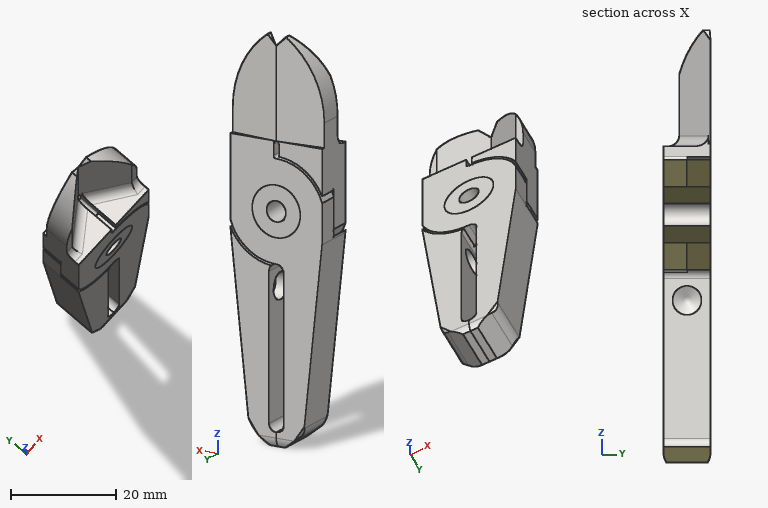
import cadquery as cq
import math


HALF_WIDTH = 10.0
THICKNESS = 9.0
FRONT_Y = -THICKNESS / 2
BACK_Y = THICKNESS / 2

DISC_RADIUS = 10.5
JOINT_GAP = 0.5
RECESS_RADIUS = DISC_RADIUS + JOINT_GAP
BUSHING_RADIUS = 5.25
BORE_RADIUS = 2.1

TIP_Z = 35.0
JAW_ARC_RADIUS = 20.0
JAW_ARC_START_Z = 19.0
TIP_HALF_WIDTH = (
    math.sqrt(JAW_ARC_RADIUS**2 - (TIP_Z - JAW_ARC_START_Z) ** 2) + HALF_WIDTH - JAW_ARC_RADIUS
)
SHOULDER_Z = 13.0
SHOULDER_FILLET = 2.0
JAW_FRONT_Y = -1.5
BEVEL_HALF_WIDTH = 8.5
RELIEF_DEPTH = 0.85
JAW_SLOT_WIDTH = 1.2
JAW_SLOT_TOP_Z = 14.0

TAPER_START_Z = -5.0
TAPER_END = (6.1, -42.2)
HEEL_CORNER = (4.7, -44.5)
END_HALF_WIDTH = 1.6
END_Z = -47.0
HANDLE_SLOT_WIDTH = 3.2
HANDLE_SLOT_BOTTOM_Z = -44.0
END_ROUND_RADIUS = 3.3
END_ROUND_START_Z = -45.1
HEEL_CHAMFER_START = (6.1, -42.0)
HEEL_CHAMFER_END = (3.95, END_ROUND_START_Z)

SPRING_HOLE_RADIUS = 2.75
SPRING_HOLE_Z = -16.25
SPRING_HOLE_DEPTH = 2.6
DRILL_POINT_ANGLE = 118.0

CUT_MARGIN = 5.0


def plate_plane(start_y):
    """Sketch plane with local axes X and Z at the given Y; extrude by a negative depth to go toward +Y."""
    return cq.Workplane("XZ", origin=(0, start_y, 0))


def cylinder(radius, start_y, depth):
    return plate_plane(start_y).circle(radius).extrude(-depth)


def jaw_plate():
    """Left jaw blank: straight flank, then an arc to the tip with a 45 degree notch at the middle."""
    mid_z = (JAW_ARC_START_Z + TIP_Z) / 2
    arc_centre_x = JAW_ARC_RADIUS - HALF_WIDTH
    mid_x = arc_centre_x - math.sqrt(JAW_ARC_RADIUS**2 - (mid_z - JAW_ARC_START_Z) ** 2)
    return (
        plate_plane(FRONT_Y)
        .lineTo(-HALF_WIDTH, 0)
        .lineTo(-HALF_WIDTH, JAW_ARC_START_Z)
        .threePointArc((mid_x, mid_z), (-TIP_HALF_WIDTH, TIP_Z))
        .lineTo(0, TIP_Z - TIP_HALF_WIDTH)
        .close()
        .extrude(-THICKNESS)
    )


def handle_plate():
    """Right handle blank: tapered flank, rounded heel and a slanted end."""
    return (
        plate_plane(FRONT_Y)
        .lineTo(HALF_WIDTH, 0)
        .lineTo(HALF_WIDTH, TAPER_START_Z)
        .lineTo(*TAPER_END)
        .tangentArcPoint(HEEL_CORNER, relative=False)
        .lineTo(END_HALF_WIDTH, END_Z)
        .lineTo(0, END_Z)
        .close()
        .extrude(-THICKNESS)
    )


def half_blank():
    """Left jaw and right handle joined by a disc in the front layer, with a recess in the back layer."""
    recess = cylinder(RECESS_RADIUS, 0, THICKNESS)
    width_limit = cq.Workplane("XY").box(2 * HALF_WIDTH, 2 * THICKNESS, 2 * HALF_WIDTH + CUT_MARGIN)
    disc = cylinder(DISC_RADIUS, FRONT_Y, THICKNESS / 2).intersect(width_limit)
    return jaw_plate().union(handle_plate()).cut(recess).union(disc)


def round_ended_slot(width, bottom_z, top_z):
    """Slot along Z through the full thickness."""
    return (
        plate_plane(FRONT_Y - CUT_MARGIN)
        .center(0, (bottom_z + top_z) / 2)
        .slot2D(top_z - bottom_z, width, 90)
        .extrude(-(THICKNESS + 2 * CUT_MARGIN))
    )


def jaw_front_cutters(side):
    """Removes the jaw's front above the shoulder: a flat step outside and a bevel rising to the edge.

    Both meet the shoulder in a fillet, which stops at the slot; over the slot the bevel runs straight down.
    """
    slope = (BACK_Y - JAW_FRONT_Y) / BEVEL_HALF_WIDTH
    full_reach = HALF_WIDTH + CUT_MARGIN
    slot_reach = JAW_SLOT_WIDTH / 2

    def front_cutter(outer_x, face_slope, base_y):
        inner_x = -CUT_MARGIN
        low_y = FRONT_Y - 2 * CUT_MARGIN
        corners = [
            (side * outer_x, base_y - face_slope * outer_x),
            (side * inner_x, base_y - face_slope * inner_x),
            (side * inner_x, low_y),
            (side * outer_x, low_y),
        ]
        sketch = cq.Workplane("XY", origin=(0, 0, SHOULDER_Z)).polyline(corners).close()
        return sketch.extrude(TIP_Z - SHOULDER_Z + CUT_MARGIN)

    def filleted(cutter):
        return cutter.faces("<Z").edges(">Y").fillet(SHOULDER_FILLET)

    flat_step = filleted(front_cutter(full_reach, 0, JAW_FRONT_Y))
    bevel = filleted(front_cutter(full_reach, slope, BACK_Y))
    slot_bevel = front_cutter(slot_reach, slope, BACK_Y)
    return [flat_step, bevel, slot_bevel]


def jaw_back_relief(side):
    """Thin wedge taken off the back of the jaw, deepest at the outer flank."""
    return (
        cq.Workplane("XY", origin=(0, 0, JAW_SLOT_TOP_Z))
        .moveTo(0, BACK_Y)
        .lineTo(side * HALF_WIDTH, BACK_Y - RELIEF_DEPTH)
        .lineTo(side * HALF_WIDTH, BACK_Y)
        .close()
        .extrude(TIP_Z - JAW_SLOT_TOP_Z)
    )


def end_round_cutter(face):
    """Rounds the handle end toward the front (-1) or back (+1) face."""
    band_height = END_ROUND_START_Z - END_Z
    band = cq.Workplane("XY").box(2 * HALF_WIDTH, THICKNESS / 2, band_height, centered=(True, False, False))
    band = band.translate((0, 0 if face > 0 else FRONT_Y, END_Z))
    rod = (
        cq.Workplane("YZ", origin=(-HALF_WIDTH, 0, 0))
        .center(face * (BACK_Y - END_ROUND_RADIUS), END_ROUND_START_Z)
        .circle(END_ROUND_RADIUS)
        .extrude(2 * HALF_WIDTH)
    )
    core = cq.Workplane("XY").box(2 * HALF_WIDTH, 2 * (BACK_Y - END_ROUND_RADIUS), 2 * band_height)
    return band.cut(rod).cut(core.translate((0, 0, END_Z)))


def heel_chamfer_cutter(side, face):
    """Wedge that bevels the heel at 45 degrees, its edge running across the front or back face."""
    run_x = HEEL_CHAMFER_START[0] - HEEL_CHAMFER_END[0]
    run_z = HEEL_CHAMFER_START[1] - HEEL_CHAMFER_END[1]
    length = math.hypot(run_x, run_z)
    outward = cq.Vector(side * run_z / length, 0, -run_x / length)
    along = cq.Vector(side * run_x / length, 0, run_z / length)
    edge_foot = cq.Vector(side * HEEL_CHAMFER_END[0], face * BACK_Y, HEEL_CHAMFER_END[1])
    section = cq.Plane(origin=edge_foot, xDir=outward, normal=along)
    inward = -face * section.yDir.y
    reach = CUT_MARGIN / 2
    return (
        cq.Workplane(section)
        .lineTo(reach, inward * reach)
        .lineTo(reach, 0)
        .close()
        .extrude(length)
    )


def spring_hole_cutter(side):
    """Drilled blind hole along X in the slot wall of the handle, with a conical bottom."""
    rim_x = HANDLE_SLOT_WIDTH / 2 + SPRING_HOLE_DEPTH
    point_length = SPRING_HOLE_RADIUS / math.tan(math.radians(DRILL_POINT_ANGLE / 2))
    return (
        cq.Workplane("XZ", origin=(0, 0, SPRING_HOLE_Z))
        .lineTo(0, SPRING_HOLE_RADIUS)
        .lineTo(side * rim_x, SPRING_HOLE_RADIUS)
        .lineTo(side * (rim_x + point_length), 0)
        .close()
        .revolve(360, (0, 0, 0), (1, 0, 0))
    )


def plier_half(blank, jaw_side):
    """Finishes a blank whose jaw is on the given side (-1 left, +1 right) and handle on the other."""
    half = blank.cut(cylinder(BUSHING_RADIUS, FRONT_Y, THICKNESS))
    half = half.cut(round_ended_slot(JAW_SLOT_WIDTH, DISC_RADIUS, JAW_SLOT_TOP_Z))
    half = half.cut(round_ended_slot(HANDLE_SLOT_WIDTH, HANDLE_SLOT_BOTTOM_Z, -DISC_RADIUS))
    for cutter in jaw_front_cutters(jaw_side):
        half = half.cut(cutter)
    half = half.cut(jaw_back_relief(jaw_side))
    half = half.cut(spring_hole_cutter(-jaw_side))
    for face in (-1, 1):
        half = half.cut(end_round_cutter(face))
        half = half.cut(heel_chamfer_cutter(-jaw_side, face))
    return half.solids()


blank = half_blank()
left_jaw_half = plier_half(blank, -1)
right_jaw_half = plier_half(blank.rotate((0, 0, 0), (0, 0, 1), 180), 1)

bore = cylinder(BORE_RADIUS, FRONT_Y, THICKNESS)
bushing = cylinder(BUSHING_RADIUS, FRONT_Y, THICKNESS).cut(bore).solids()

result = cq.Compound.makeCompound([left_jaw_half.val(), right_jaw_half.val(), bushing.val()])